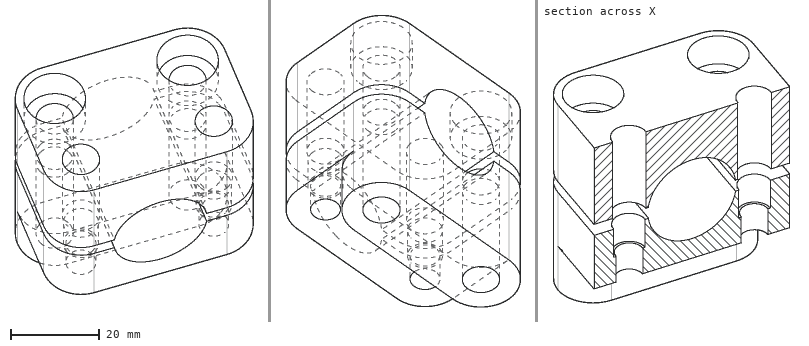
import cadquery as cq

width = 36.0
length = 50.0
height = 53.0
corner_radius = 9.0

upper_height = 22.0
gap = 3.0
bore_diameter = 22.4
foot_height = 12.5
foot_width = 2 * corner_radius

hole_spacing = 32.0
row_offset = width / 2 - corner_radius
clearance_diameter = 8.5
head_diameter = 14.0
head_depth = 8.0
tapped_diameter = 6.8
relief_diameter = 8.0
relief_depth = 8.0

upper_bottom = height - upper_height
lower_top = upper_bottom - gap
bore_height = upper_bottom - gap / 2
head_row = [(-row_offset, side * hole_spacing / 2) for side in (-1, 1)]
tapped_row = [(row_offset, side * hole_spacing / 2) for side in (-1, 1)]


def rounded_block(bottom, top):
    """Full-size block with rounded vertical edges."""
    block = cq.Workplane("XY", origin=(0, 0, bottom)).rect(width, length).extrude(top - bottom)
    return block.edges("|Z").fillet(corner_radius)


def foot():
    """Round-ended foot below the head-screw row, up to the wide part of the lower half."""
    plane = cq.Workplane("XY", origin=(-row_offset, 0, 0))
    return plane.slot2D(length, foot_width, 90).extrude(foot_height)


def vertical_holes(points, diameter, bottom, top):
    """Cylinders to cut at the given points between two heights."""
    plane = cq.Workplane("XY", origin=(0, 0, bottom))
    return plane.pushPoints(points).circle(diameter / 2).extrude(top - bottom)


def bar_bore():
    """Cylinder of the clamped bar, along the whole width."""
    plane = cq.Workplane("YZ", origin=(-width / 2, 0, bore_height))
    return plane.circle(bore_diameter / 2).extrude(width)


def make_upper_clamp():
    """Top half with counterbored screw holes and plain clearance holes."""
    clamp = rounded_block(upper_bottom, height).cut(bar_bore())
    clamp = clamp.cut(vertical_holes(head_row + tapped_row, clearance_diameter, upper_bottom, height))
    return clamp.cut(vertical_holes(head_row, head_diameter, height - head_depth, height))


def make_lower_clamp():
    """Bottom half with its foot, clearance holes and tapped holes with a wider mouth."""
    clamp = rounded_block(0, lower_top).cut(bar_bore())
    clamp = clamp.cut(rounded_block(0, foot_height).cut(foot()))
    clamp = clamp.cut(vertical_holes(head_row, clearance_diameter, 0, lower_top))
    clamp = clamp.cut(vertical_holes(tapped_row, tapped_diameter, foot_height, lower_top))
    return clamp.cut(vertical_holes(tapped_row, relief_diameter, lower_top - relief_depth, lower_top))


upper_clamp = make_upper_clamp()
lower_clamp = make_lower_clamp()

result = cq.Compound.makeCompound([upper_clamp.solids().val(), lower_clamp.solids().val()])